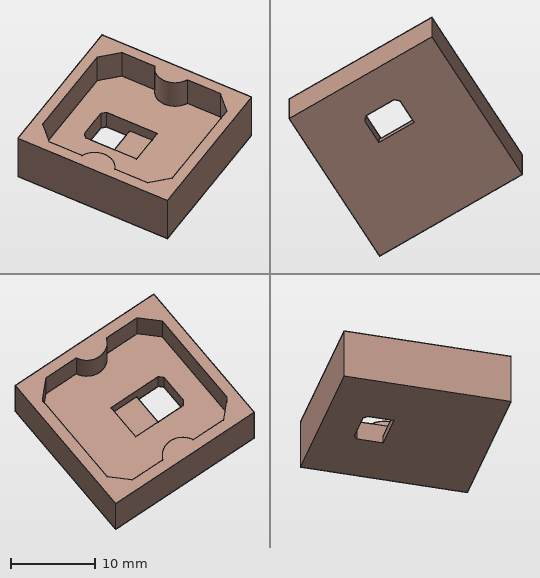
import cadquery as cq

length = 20.6
width = 19.95
height = 6.5

wall = 1.38
pocket_depth = 4.0
pocket_corner = 2.15
pocket_length = length - 2 * wall
pocket_width = width - 2 * wall
floor_height = height - pocket_depth

lobe_radius = 2.43
lobe_reach = 1.5

window_left = -5.8
ledge_left = -2.12
window_right = 1.69
window_width = 4.9
window_corner = 0.5
ledge_depth = 1.5


def make_pocket():
    """Chamfered pocket with a lobe left standing on each Y wall."""
    pocket = (
        cq.Workplane("XY", origin=(0, 0, floor_height))
        .rect(pocket_length, pocket_width)
        .extrude(pocket_depth)
        .edges("|Z")
        .chamfer(pocket_corner)
    )
    lobe_center = pocket_width / 2 - lobe_reach + lobe_radius
    lobes = (
        cq.Workplane("XY", origin=(0, 0, floor_height))
        .pushPoints([(0, lobe_center), (0, -lobe_center)])
        .circle(lobe_radius)
        .extrude(pocket_depth)
    )
    return pocket.cut(lobes)


def make_window_box(right, bottom):
    """Cutter from the window's chamfered left side to the given X, from bottom up to the pocket floor."""
    return (
        cq.Workplane("XY", origin=((window_left + right) / 2, 0, bottom))
        .rect(right - window_left, window_width)
        .extrude(floor_height - bottom)
        .edges("|Z and <X")
        .chamfer(window_corner)
    )


block = cq.Workplane("XY").box(length, width, height, centered=(True, True, False))
ledge_recess = make_window_box(window_right, floor_height - ledge_depth)
through_opening = make_window_box(ledge_left, 0)

result = block.cut(make_pocket()).cut(ledge_recess).cut(through_opening)